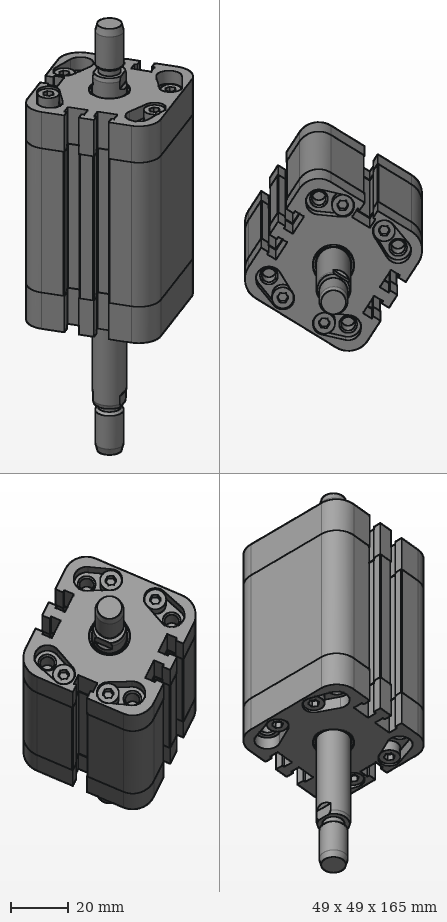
import cadquery as cq
import math


side = 49.0
half_side = side / 2
corner_radius = 8.0
cap_length = 14.1
barrel_length = 55.8
housing_length = barrel_length + 2 * cap_length
housing_middle = housing_length / 2

twin_slot_offset = 5.45
mouth_width = 5.4
mouth_depth = 3.0
cap_channel_width = 7.3
cap_slot_depth = 6.65
barrel_channel_width = 6.8
barrel_slot_depth = 6.4
barrel_mouth_chamfer = 0.4

thread_offset = 16.25
thread_diameter = 4.92
thread_chamfer = 0.65
thread_depth = 8.0
pocket_thread_end = 9.0
pocket_screw_end = 7.9
pocket_depth = 5.0
screw_x = 19.5
screw_y = 8.5
screw_head_diameter = 7.5
screw_head_sink = 0.8
hex_across_flats = 3.4
hex_depth = 2.5

recess_mouth_diameter = 14.4
recess_diameter = 14.0
recess_depth = 0.6
inner_recess_diameter = 12.54
inner_recess_depth = 1.2

rod_diameter = 12.0
upper_reach = 25.5
lower_reach = 55.5
rod_thread_diameter = 10.0
neck_diameter = 7.9
shoulder_edge_diameter = 11.2
tip_diameter = 8.57
flat_width = 10.0
flat_runout = (rod_diameter - flat_width) / 2

tip_chamfer_end = 2.7
rod_thread_end = 15.5
neck_start = 16.5
neck_end = 18.5
shoulder_end = 20.0
flat_end = 23.0


def t_slot(channel_width, depth, mouth_chamfer, length):
    """T-slot cutter that opens towards -X, centred on Y = 0."""
    half_mouth = mouth_width / 2
    half_channel = channel_width / 2
    lip = -half_side + mouth_depth
    floor = -half_side + depth
    upper_half = [
        (-half_side, half_mouth + mouth_chamfer),
        (-half_side + mouth_chamfer, half_mouth),
        (lip, half_mouth),
        (lip, half_channel),
        (floor, half_channel),
    ]
    if mouth_chamfer == 0:
        upper_half.pop(0)
    lower_half = [(x, -y) for x, y in reversed(upper_half)]
    return cq.Workplane("XY").polyline(upper_half + lower_half).close().extrude(length)


def slotted_block(length, channel_width, depth, mouth_chamfer=0.0):
    """Rounded square block with the five T-slots running through it."""
    block = cq.Workplane("XY").rect(side, side).extrude(length).edges("|Z").fillet(corner_radius)
    slot = t_slot(channel_width, depth, mouth_chamfer, length)
    block = block.cut(slot)
    for turn in (90, -90):
        turned_slot = slot.rotate((0, 0, 0), (0, 0, 1), turn)
        for offset in (-twin_slot_offset, twin_slot_offset):
            block = block.cut(turned_slot.translate((offset, 0, 0)))
    return block


def build_barrel():
    barrel = slotted_block(barrel_length, barrel_channel_width, barrel_slot_depth, barrel_mouth_chamfer)
    rod_hole = cq.Workplane("XY").circle(rod_diameter / 2).extrude(barrel_length)
    return barrel.cut(rod_hole).translate((0, 0, cap_length))


def disc(x, y, diameter, z_bottom, z_top):
    """Upright cylinder between two heights."""
    return cq.Workplane("XY", origin=(x, y, z_bottom)).circle(diameter / 2).extrude(z_top - z_bottom)


def pocket_outline(radius_a, radius_b, dx, dy):
    """Closed outline around a circle at the origin and a second one at (dx, dy), with tangent sides."""
    distance = math.hypot(dx, dy)
    axis_angle = math.atan2(dy, dx)
    spread = math.acos((radius_a - radius_b) / distance)

    def on_a(angle):
        return (radius_a * math.cos(angle), radius_a * math.sin(angle))

    def on_b(angle):
        return (dx + radius_b * math.cos(angle), dy + radius_b * math.sin(angle))

    left = axis_angle + spread
    right = axis_angle - spread
    return (
        cq.Workplane("XY")
        .moveTo(*on_a(left))
        .threePointArc(on_a(axis_angle + math.pi), on_a(right))
        .lineTo(*on_b(right))
        .threePointArc(on_b(axis_angle), on_b(left))
        .close()
    )


def shape_corner(cap, x_sign, y_sign):
    """Pocket, mounting thread and screw head in one corner of the cap's outer face."""
    thread_x = x_sign * thread_offset
    thread_y = y_sign * thread_offset
    head_x = x_sign * screw_x
    head_y = y_sign * screw_y
    floor = cap_length - pocket_depth

    outline = pocket_outline(
        pocket_thread_end / 2, pocket_screw_end / 2, head_x - thread_x, head_y - thread_y
    )
    pocket = outline.extrude(pocket_depth).translate((thread_x, thread_y, floor))

    thread = disc(thread_x, thread_y, thread_diameter, floor - thread_depth, floor)
    countersink = (
        cq.Workplane("XY", origin=(thread_x, thread_y, floor))
        .circle(thread_diameter / 2 + thread_chamfer)
        .workplane(offset=-thread_chamfer)
        .circle(thread_diameter / 2)
        .loft()
    )
    head_top = cap_length - screw_head_sink
    head = disc(head_x, head_y, screw_head_diameter, floor, head_top)
    hex_socket = (
        cq.Workplane("XY", origin=(head_x, head_y, head_top))
        .polygon(6, hex_across_flats / math.cos(math.pi / 6))
        .extrude(-hex_depth)
    )
    return cap.cut(pocket).cut(thread).cut(countersink).union(head).cut(hex_socket)


def build_upper_cap():
    """Cap with its outer face at Z = cap_length."""
    cap = slotted_block(cap_length, cap_channel_width, cap_slot_depth)
    for x_sign in (-1, 1):
        for y_sign in (-1, 1):
            cap = shape_corner(cap, x_sign, y_sign)
    recess_floor = cap_length - recess_depth
    bore_profile = [
        (0, 0),
        (rod_diameter / 2, 0),
        (rod_diameter / 2, cap_length - inner_recess_depth),
        (inner_recess_diameter / 2, cap_length - inner_recess_depth),
        (inner_recess_diameter / 2, recess_floor),
        (recess_diameter / 2, recess_floor),
        (recess_mouth_diameter / 2, cap_length),
        (0, cap_length),
    ]
    bore = cq.Workplane("XZ").polyline(bore_profile).close().revolve(360, (0, 0, 0), (0, 1, 0))
    return cap.cut(bore)


def build_rod(length):
    """Rod along Z with its tip at Z = 0 and its plain end at Z = length."""
    profile = [
        (0, 0),
        (tip_diameter / 2, 0),
        (rod_thread_diameter / 2, tip_chamfer_end),
        (rod_thread_diameter / 2, rod_thread_end),
        (neck_diameter / 2, neck_start),
        (neck_diameter / 2, neck_end),
        (shoulder_edge_diameter / 2, neck_end),
        (rod_diameter / 2, shoulder_end),
        (rod_diameter / 2, length),
        (0, length),
    ]
    rod = cq.Workplane("XZ").polyline(profile).close().revolve(360, (0, 0, 0), (0, 1, 0))
    flat_profile = [
        (flat_width / 2, neck_end),
        (rod_diameter / 2, neck_end),
        (rod_diameter / 2, flat_end + flat_runout),
        (flat_width / 2, flat_end),
    ]
    flat = cq.Workplane("XZ").polyline(flat_profile).close().extrude(rod_diameter / 2, both=True)
    return rod.cut(flat).cut(flat.mirror("YZ"))


barrel = build_barrel()
cap = build_upper_cap()
upper_cap = cap.translate((0, 0, housing_length - cap_length))
lower_cap = cap.mirror("XY").translate((0, 0, cap_length))
lower_rod = build_rod(lower_reach + housing_middle).translate((0, 0, -lower_reach))
upper_rod = build_rod(upper_reach + housing_middle).mirror("XY")
upper_rod = upper_rod.translate((0, 0, housing_length + upper_reach))

result = cq.Compound.makeCompound(
    [barrel.val(), upper_cap.val(), lower_cap.val(), upper_rod.val(), lower_rod.val()]
)